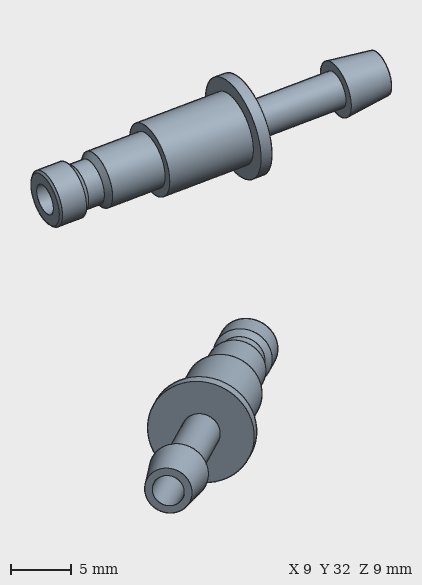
import cadquery as cq

total_length = 32.0
bore_diameter = 2.7

plug_diameter = 5.0
plug_length = 10.0
plug_edge_chamfer = 0.2
groove_diameter = 4.0
groove_front = 2.5
groove_back = 5.0
groove_flank = (plug_diameter - groove_diameter) / 2

body_diameter = 6.5
flange_diameter = 9.0
flange_front = 18.0
flange_thickness = 1.05
flange_back = flange_front + flange_thickness

stem_diameter = 3.25
barb_length = 4.15
barb_base_diameter = 5.0
barb_tip_diameter = 4.0
barb_start = total_length - barb_length


def cylinder(diameter, start, end):
    """Cylinder along +Y between two distances from the plug face."""
    plane = cq.Workplane("XZ", origin=(0, start, 0))
    return plane.circle(diameter / 2).extrude(start - end)


def cone(start_diameter, end_diameter, start, end):
    """Truncated cone along +Y between two distances from the plug face."""
    solid = cq.Solid.makeCone(
        start_diameter / 2,
        end_diameter / 2,
        end - start,
        pnt=cq.Vector(0, start, 0),
        dir=cq.Vector(0, 1, 0),
    )
    return cq.Workplane(obj=solid)


def make_plug():
    groove_floor_front = groove_front + groove_flank
    groove_floor_back = groove_back - groove_flank
    head = cylinder(plug_diameter, 0, groove_front)
    head = head.faces("<Y").edges().chamfer(plug_edge_chamfer)
    return (
        head
        .union(cone(plug_diameter, groove_diameter, groove_front, groove_floor_front))
        .union(cylinder(groove_diameter, groove_floor_front, groove_floor_back))
        .union(cone(groove_diameter, plug_diameter, groove_floor_back, groove_back))
        .union(cylinder(plug_diameter, groove_back, plug_length))
    )


def make_body():
    body = cylinder(body_diameter, plug_length, flange_front)
    return body.union(cylinder(flange_diameter, flange_front, flange_back))


def make_hose_end():
    stem = cylinder(stem_diameter, flange_back, barb_start)
    return stem.union(cone(barb_base_diameter, barb_tip_diameter, barb_start, total_length))


bore = cylinder(bore_diameter, 0, total_length)
result = make_plug().union(make_body()).union(make_hose_end()).cut(bore)